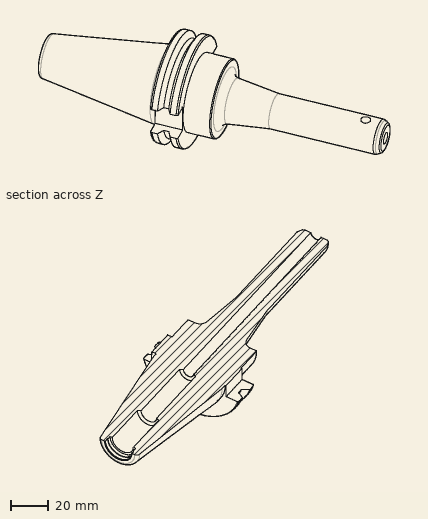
import cadquery as cq
import math

LENGTH = 195.2

TAPER_END_X = 68.3
TAPER_LARGE_R = 44.5 / 2
TAPER_SLOPE = 7 / 48
SMALL_END_ROUND = 2.0

FLANGE_X = 71.5
FLANGE_WIDTH = 15.8
FLANGE_R = 63.3 / 2
FLANGE_BEVEL_LENGTH = 1.0
FLANGE_BEVEL_DEPTH = 0.4
GROOVE_CENTER_X = 79.3
GROOVE_FLOOR_WIDTH = 3.0
GROOVE_FLOOR_R = 28.0
GROOVE_HALF_ANGLE = 30
SLOT_WIDTH = 16.2
SLOT_FLOOR_FRONT = 22.8
SLOT_FLOOR_BACK = 25.0

COLLAR_END_X = 103.0
COLLAR_R = 44.5 / 2
COLLAR_CHAMFER = 0.5
NECK_END_X = 131.8
NECK_ANGLE = 7
NECK_FILLET = 5.0
SHANK_R = 19.7 / 2
TIP_START_X = 191.7
TIP_BREAK_X = 193.0
TIP_BREAK_R = 9.4
TIP_EDGE_R = 16.8 / 2
TIP_FACE_R = 7.2
TIP_EDGE_CHAMFER = 0.5

MOUTH_R = 8.8
COUNTERBORE_R = 16.8 / 2
COUNTERBORE_DEPTH = 2.5
THREAD_R = 16.2 / 2
THREAD_DEPTH = 4.5
MINOR_R = 13.5 / 2
MINOR_DEPTH = 29.3
PILOT_R = 10.0 / 2
PILOT_DEPTH = 68.3
COOLANT_R = 6.5 / 2
CONE_HALF_ANGLE = 60

CROSS_HOLE_X = 184.0
CROSS_HOLE_R = 5.3 / 2


def turned_body():
    """Outer profile revolved about X."""
    small_r = TAPER_LARGE_R - TAPER_END_X * TAPER_SLOPE
    round_start_r = small_r + SMALL_END_ROUND * TAPER_SLOPE
    round_mid = SMALL_END_ROUND * (1 - math.sqrt(0.5))

    flange_end = FLANGE_X + FLANGE_WIDTH
    bevel_r = FLANGE_R - FLANGE_BEVEL_DEPTH
    half_floor = GROOVE_FLOOR_WIDTH / 2
    wall_run = (FLANGE_R - GROOVE_FLOOR_R) * math.tan(math.radians(GROOVE_HALF_ANGLE))
    half_mouth = half_floor + wall_run

    angle = math.radians(NECK_ANGLE)
    fillet_x = COLLAR_END_X + NECK_FILLET
    neck_start_x = fillet_x - NECK_FILLET * math.sin(angle)
    neck_r = SHANK_R + (NECK_END_X - neck_start_x) * math.tan(angle)
    fillet_r = neck_r + NECK_FILLET * math.cos(angle)
    mid_angle = (math.pi + 1.5 * math.pi - angle) / 2
    fillet_mid = (
        fillet_x + NECK_FILLET * math.cos(mid_angle),
        fillet_r + NECK_FILLET * math.sin(mid_angle),
    )

    profile = (
        cq.Workplane("XY")
        .moveTo(0, 0)
        .lineTo(0, round_start_r - SMALL_END_ROUND)
        .threePointArc((round_mid, round_start_r - round_mid), (SMALL_END_ROUND, round_start_r))
        .lineTo(TAPER_END_X, TAPER_LARGE_R)
        .lineTo(FLANGE_X, TAPER_LARGE_R)
        .lineTo(FLANGE_X, bevel_r)
        .lineTo(FLANGE_X + FLANGE_BEVEL_LENGTH, FLANGE_R)
        .lineTo(GROOVE_CENTER_X - half_mouth, FLANGE_R)
        .lineTo(GROOVE_CENTER_X - half_floor, GROOVE_FLOOR_R)
        .lineTo(GROOVE_CENTER_X + half_floor, GROOVE_FLOOR_R)
        .lineTo(GROOVE_CENTER_X + half_mouth, FLANGE_R)
        .lineTo(flange_end - FLANGE_BEVEL_LENGTH, FLANGE_R)
        .lineTo(flange_end, bevel_r)
        .lineTo(flange_end, COLLAR_R)
        .lineTo(COLLAR_END_X - COLLAR_CHAMFER, COLLAR_R)
        .lineTo(COLLAR_END_X, COLLAR_R - COLLAR_CHAMFER)
        .lineTo(COLLAR_END_X, fillet_r)
        .threePointArc(fillet_mid, (neck_start_x, neck_r))
        .lineTo(NECK_END_X, SHANK_R)
        .lineTo(TIP_START_X, SHANK_R)
        .lineTo(TIP_BREAK_X, TIP_BREAK_R)
        .lineTo(LENGTH - TIP_EDGE_CHAMFER, TIP_EDGE_R)
        .lineTo(LENGTH, TIP_FACE_R)
        .lineTo(LENGTH, 0)
        .close()
    )
    return profile.revolve(360, (0, 0, 0), (1, 0, 0))


def drive_slot(floor, side):
    """Cutter for one slot on the +Y (side=1) or -Y (side=-1) edge of the flange."""
    depth = FLANGE_R - floor
    return (
        cq.Workplane("XY")
        .box(FLANGE_WIDTH, depth, SLOT_WIDTH)
        .translate((FLANGE_X + FLANGE_WIDTH / 2, side * (floor + depth / 2), 0))
    )


def stepped_bore():
    """Cutter for the mouth, thread bore, pilot and coolant hole."""
    cone_run = 1 / math.tan(math.radians(CONE_HALF_ANGLE))
    profile = (
        cq.Workplane("XY")
        .moveTo(0, 0)
        .lineTo(0, MOUTH_R)
        .lineTo(MOUTH_R - COUNTERBORE_R, COUNTERBORE_R)
        .lineTo(COUNTERBORE_DEPTH, COUNTERBORE_R)
        .lineTo(COUNTERBORE_DEPTH, THREAD_R)
        .lineTo(THREAD_DEPTH, THREAD_R)
        .lineTo(THREAD_DEPTH, MINOR_R)
        .lineTo(MINOR_DEPTH, MINOR_R)
        .lineTo(MINOR_DEPTH + (MINOR_R - PILOT_R) * cone_run, PILOT_R)
        .lineTo(PILOT_DEPTH, PILOT_R)
        .lineTo(PILOT_DEPTH + (PILOT_R - COOLANT_R) * cone_run, COOLANT_R)
        .lineTo(LENGTH, COOLANT_R)
        .lineTo(LENGTH, 0)
        .close()
    )
    return profile.revolve(360, (0, 0, 0), (1, 0, 0))


def cross_hole():
    """Cutter for the radial hole, from the bore axis up past the shank."""
    return cq.Workplane("XY").center(CROSS_HOLE_X, 0).circle(CROSS_HOLE_R).extrude(SHANK_R)


result = (
    turned_body()
    .cut(drive_slot(SLOT_FLOOR_FRONT, -1))
    .cut(drive_slot(SLOT_FLOOR_BACK, 1))
    .cut(stepped_bore())
    .cut(cross_hole())
)